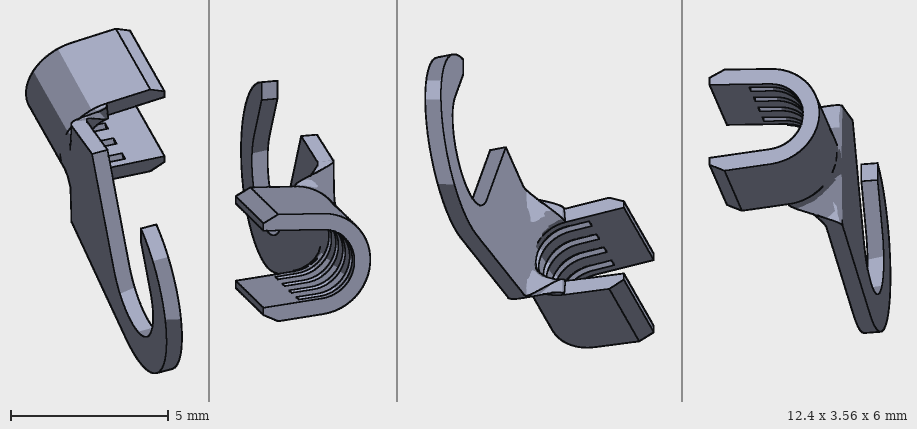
import math

import cadquery as cq

sheet = 0.53
barrel_length = 3.05
barrel_depth = 3.56
outer_radius = 1.68
inner_radius = outer_radius - sheet
arm_splay = math.radians(4)
arm_bevel_length = 0.49
arm_bevel_height = 0.25

groove_count = 4
groove_width = 0.28
groove_depth = groove_width / 2
groove_reach = 2.31
groove_margin = 0.25
groove_pitch = (barrel_length - 2 * groove_margin - groove_width) / (groove_count - 1)

plate_start = 4.08
plate_start_half_height = 2.1
transition_steps = 8
points_per_wall = 13

total_length = 12.44
hook_radius = 3.05
throat_radius = 1.85
throat_tilt = math.radians(60)
hook_center_x = total_length - hook_radius
tip_offset = 0.78


def arm_height(radius, y):
    """Z of an upper arm face that leaves the bend of the given radius tangentially."""
    return radius / math.cos(arm_splay) + (y - outer_radius) * math.tan(arm_splay)


def bend_point(radius, angle):
    """(Y, Z) on the barrel bend; the angle is measured from the bottom of the U."""
    return (outer_radius - radius * math.cos(angle), radius * math.sin(angle))


def mirrored(point):
    return (point[0], -point[1])


def u_outline(radius, reach, x=0):
    """Closed U outline at the given X: a bend and two splayed arms up to Y = reach."""
    bend_end = bend_point(radius, math.pi / 2 - arm_splay)
    arm_end = (reach, arm_height(radius, reach))
    return (
        cq.Workplane("YZ", origin=(x, 0, 0))
        .moveTo(*mirrored(arm_end))
        .lineTo(*mirrored(bend_end))
        .threePointArc(bend_point(radius, 0), bend_end)
        .lineTo(*arm_end)
        .close()
    )


def make_barrel():
    bend_end = bend_point(outer_radius, math.pi / 2 - arm_splay)
    bevel_y = barrel_depth - arm_bevel_length
    bevel_start = (bevel_y, arm_height(outer_radius, bevel_y))
    bevel_end = (barrel_depth, bevel_start[1] - arm_bevel_height)
    outside = (
        cq.Workplane("YZ")
        .moveTo(*mirrored(bevel_end))
        .lineTo(*mirrored(bevel_start))
        .lineTo(*mirrored(bend_end))
        .threePointArc(bend_point(outer_radius, 0), bend_end)
        .lineTo(*bevel_start)
        .lineTo(*bevel_end)
        .close()
        .extrude(barrel_length)
    )
    return outside.cut(u_outline(inner_radius, barrel_depth).extrude(barrel_length))


def make_groove(index):
    start = groove_margin + index * groove_pitch
    end = start + groove_width
    middle = (start + end) / 2
    rim_start = u_outline(inner_radius, groove_reach, start).val()
    root = u_outline(inner_radius + groove_depth, groove_reach, middle).val()
    rim_end = u_outline(inner_radius, groove_reach, end).val()
    return cq.Workplane(obj=cq.Solid.makeLoft([rim_start, root, rim_end], ruled=True))


def wall_points(radius, flat_y, blend):
    """Points along one wall face, part-way between the barrel bend and the flat plate."""
    points = []
    for step in range(points_per_wall):
        side = 2 * step / (points_per_wall - 1) - 1
        bend_y, bend_z = bend_point(radius, side * (math.pi / 2 - arm_splay))
        flat_z = side * plate_start_half_height
        y = bend_y + blend * (flat_y - bend_y)
        z = bend_z + blend * (flat_z - bend_z)
        points.append((y, z))
    return points


def transition_section(fraction):
    """Closed wire across the wall at the given fraction of the transition length."""
    blend = fraction ** 3 * (10 - 15 * fraction + 6 * fraction ** 2)
    x = barrel_length + fraction * (plate_start - barrel_length)
    outer = [cq.Vector(x, y, z) for y, z in wall_points(outer_radius, 0, blend)]
    inner = [cq.Vector(x, y, z) for y, z in wall_points(inner_radius, sheet, blend)]
    edges = [
        cq.Edge.makeSpline(outer),
        cq.Edge.makeLine(outer[-1], inner[-1]),
        cq.Edge.makeSpline(inner[::-1]),
        cq.Edge.makeLine(inner[0], outer[0]),
    ]
    return cq.Wire.assembleEdges(edges)


def make_transition():
    sections = [transition_section(i / transition_steps) for i in range(transition_steps + 1)]
    return cq.Workplane(obj=cq.Solid.makeLoft(sections))


def hook_point(radius, angle):
    """(X, Z) on a circle about the hook centre."""
    return (hook_center_x + radius * math.cos(angle), radius * math.sin(angle))


def make_hook():
    run = hook_center_x - plate_start
    span = math.hypot(run, plate_start_half_height)
    taper = math.asin(hook_radius / span) - math.atan2(plate_start_half_height, run)
    lower_tangent = hook_point(hook_radius, -math.pi / 2 - taper)

    throat_right = hook_point(throat_radius, math.pi / 2 - throat_tilt)
    throat_left = hook_point(throat_radius, 3 * math.pi / 2 - throat_tilt)
    throat_bottom = hook_point(throat_radius, -throat_tilt)

    throat_slope = math.tan(throat_tilt)
    left_height = throat_left[1] + throat_slope * (throat_left[0] - plate_start)
    shoulder_run = (left_height - plate_start_half_height) / (math.tan(taper) + throat_slope)
    shoulder = (
        plate_start + shoulder_run,
        plate_start_half_height + shoulder_run * math.tan(taper),
    )

    tip_x = hook_center_x + tip_offset
    tip_top = (tip_x, math.sqrt(hook_radius ** 2 - tip_offset ** 2))
    tip_bottom = (tip_x, throat_right[1] + throat_slope * (throat_right[0] - tip_x))

    return (
        cq.Workplane("XZ")
        .moveTo(plate_start, -plate_start_half_height)
        .lineTo(*lower_tangent)
        .threePointArc(hook_point(hook_radius, 0), tip_top)
        .lineTo(*tip_bottom)
        .lineTo(*throat_right)
        .threePointArc(throat_bottom, throat_left)
        .lineTo(*shoulder)
        .lineTo(plate_start, plate_start_half_height)
        .close()
        .extrude(-sheet)
    )


barrel = make_barrel()
for groove_index in range(groove_count):
    barrel = barrel.cut(make_groove(groove_index))

result = barrel.union(make_transition()).union(make_hook())